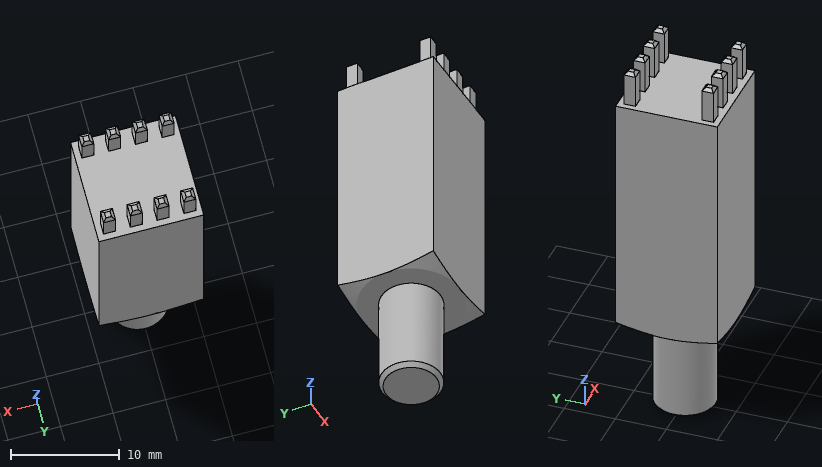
import cadquery as cq
import math

total_height = 38.0
body_width = 10.0
shank_length = 10.0
pin_length = 3.5
body_bottom = shank_length
body_top = total_height - pin_length

shank_diameter = 6.0
shank_chamfer = 0.4

corner_relief_angle = 17.0

pin_width = 1.15
pin_tip_bevel = 0.3
pins_per_row = 4
pin_pitch = 2.55
row_count = 2
row_spacing = 3 * pin_pitch


def make_body():
    """Square block whose lower corners are trimmed by a shallow cone."""
    block = (
        cq.Workplane("XY")
        .workplane(offset=body_bottom)
        .rect(body_width, body_width)
        .extrude(body_top - body_bottom)
    )
    inner_radius = body_width / 2
    outer_radius = body_width
    rise = (outer_radius - inner_radius) * math.tan(math.radians(corner_relief_angle))
    envelope = (
        cq.Workplane("XZ")
        .moveTo(0, body_bottom)
        .lineTo(inner_radius, body_bottom)
        .lineTo(outer_radius, body_bottom + rise)
        .lineTo(outer_radius, body_top)
        .lineTo(0, body_top)
        .close()
        .revolve(360, (0, 0, 0), (0, 1, 0))
    )
    return block.intersect(envelope)


def make_shank():
    """Round shank with a chamfered free end."""
    return (
        cq.Workplane("XY")
        .circle(shank_diameter / 2)
        .extrude(shank_length)
        .faces("<Z")
        .chamfer(shank_chamfer)
    )


def make_pins():
    """Grid of square pins standing on top of the body."""
    return (
        cq.Workplane("XY")
        .workplane(offset=body_top)
        .rarray(pin_pitch, row_spacing, pins_per_row, row_count)
        .rect(pin_width, pin_width)
        .extrude(pin_length)
        .faces(">Z")
        .chamfer(pin_tip_bevel)
    )


result = make_body().union(make_shank()).union(make_pins())